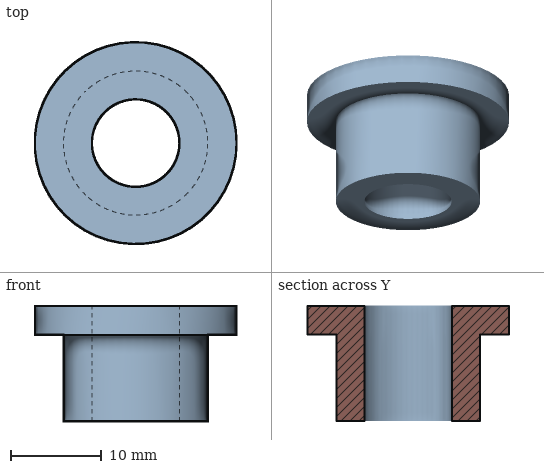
import cadquery as cq

flange_diameter = 22.23
sleeve_diameter = 15.87
bore_diameter = 9.6
total_height = 12.7
flange_thickness = 3.18
sleeve_height = total_height - flange_thickness

sleeve = cq.Workplane("XY").circle(sleeve_diameter / 2).extrude(sleeve_height)

flanged_body = sleeve.faces(">Z").workplane().circle(flange_diameter / 2).extrude(flange_thickness)

result = flanged_body.faces(">Z").workplane().circle(bore_diameter / 2).cutThruAll()